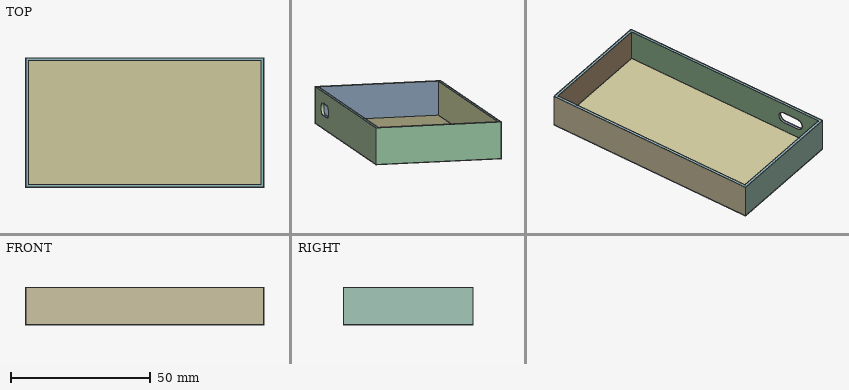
import cadquery as cq

length = 85.5
width = 46.5
height = 13.4

wall = 1.0

slot_length = 10.35
slot_height = 4.45
slot_center_x = 29.2
slot_center_z = 7.1


def open_tray():
    """Box centred in X and Y, resting on Z = 0, hollowed from above."""
    outer = cq.Workplane("XY").box(length, width, height, centered=(True, True, False))
    cavity = (
        cq.Workplane("XY")
        .workplane(offset=wall)
        .rect(length - 2 * wall, width - 2 * wall)
        .extrude(height - wall)
    )
    return outer.cut(cavity)


def back_wall_slot():
    """Cutter spanning twice the wall thickness, centred on the outer back face."""
    return (
        cq.Workplane("XZ", origin=(0, width / 2, 0))
        .center(slot_center_x, slot_center_z)
        .slot2D(slot_length, slot_height)
        .extrude(2 * wall, both=True)
    )


result = open_tray().cut(back_wall_slot())